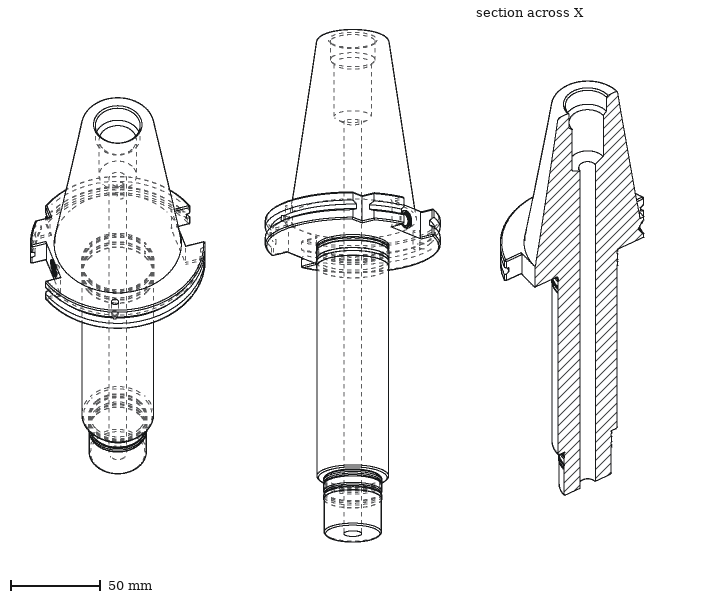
import cadquery as cq
import math


gauge_diameter = 69.85
taper_ratio = 7 / 24
taper_length = 101.75
taper_end_rounding = 2.0
taper_overrun = 0.6
flare_top = -1.5
flare_bottom_diameter = 71.0

flange_diameter = 97.5
flange_top = -3.2
flange_thickness = 15.9
flange_bottom = flange_top - flange_thickness
flange_chamfer = 0.8
v_groove_center = -11.1
v_groove_floor_width = 2.6
v_groove_floor_diameter = 92.2
v_groove_flank_angle = 30

key_slot_width = 25.7
key_slot_front_floor = 37.7
key_slot_back_floor = 35.5
key_slot_edge_chamfer = 1.0
notch_offset = 30.0
chip_hole_diameter = 10.11
chip_hole_depth = 0.5
chip_seat_diameter = 8.5
chip_seat_depth = 1.0
chip_pilot_diameter = 7.0
chip_pilot_depth = 1.5
coolant_hole_diameter = 3.9
coolant_hole_radius = 42.0
coolant_hole_angle = 160
coolant_hole_depth = 10.0
cross_hole_diameter = 3.24
drill_point_half_angle = 59

total_length = 289.6
nose_bottom = taper_length - total_length
collar_diameter = 40.5
collar_length = 12.1
collar_groove_length = 1.7
collar_groove_start = 7.6
undercut_start = 1.2
undercut_length = 2.2
undercut_depth = 0.5
shank_diameter = 40.0
shank_bottom = -155.0
shank_chamfer = 0.9

nut_diameter = 32.5
nut_body_diameter = 32.0
nut_collar_length = 12.4
nut_groove_width = 2.6
nut_groove_depth = 0.45
nut_groove_flank = 0.85
nut_groove_offsets = (1.7, 8.1)
nut_top_chamfer = 0.8
nut_end_chamfer = 0.9

through_diameter = 10.0
thread_diameter = 20.75
pilot_diameter = 25.0
pilot_depth = 11.6
pilot_rim_chamfer = 1.0
thread_depth = 45.0


def ring_groove(outer_radius, depth, top, width, flank):
    """Ring that cuts a flat-floored groove whose flanks each take `flank` along Z."""
    clearance = 1.0
    floor_radius = outer_radius - depth
    bottom = top - width
    return (
        cq.Workplane("XZ")
        .moveTo(outer_radius + clearance, top)
        .lineTo(outer_radius, top)
        .lineTo(floor_radius, top - flank)
        .lineTo(floor_radius, bottom + flank)
        .lineTo(outer_radius, bottom)
        .lineTo(outer_radius + clearance, bottom)
        .close()
        .revolve(360, (0, 0, 0), (0, 1, 0))
    )


def cylinder(diameter, top, bottom):
    return cq.Workplane("XY").workplane(offset=bottom).circle(diameter / 2).extrude(top - bottom)


def make_taper():
    """Cone with a rounded end, its short collar and the flare that meets the flange."""
    small_radius = (gauge_diameter - taper_length * taper_ratio) / 2
    base_radius = (gauge_diameter + taper_overrun * taper_ratio) / 2
    return (
        cq.Workplane("XZ")
        .moveTo(0, flange_top)
        .lineTo(flare_bottom_diameter / 2, flange_top)
        .lineTo(base_radius, flare_top)
        .lineTo(base_radius, -taper_overrun)
        .lineTo(small_radius, taper_length)
        .lineTo(0, taper_length)
        .close()
        .revolve(360, (0, 0, 0), (0, 1, 0))
        .faces(">Z")
        .edges()
        .fillet(taper_end_rounding)
    )


def make_flange():
    """Disc with its cut-outs, chamfered along the outline, with the V groove around it."""
    radius = flange_diameter / 2
    flange = cylinder(flange_diameter, flange_top, flange_bottom)
    for side, floor in ((-1, key_slot_front_floor), (1, key_slot_back_floor)):
        flange = flange.cut(key_slot(side, floor))
    notch = (
        cq.Workplane("XY")
        .workplane(offset=flange_bottom)
        .rect(flange_diameter, flange_diameter)
        .extrude(flange_thickness)
        .translate((-notch_offset - radius, -notch_offset - radius, 0))
    )
    flange = flange.cut(notch)

    outline = flange.faces("<Z or >Z").edges()
    outline = outline.filter(lambda edge: abs(edge.Center().x) > key_slot_width / 4)
    flange = outline.chamfer(flange_chamfer)

    depth = radius - v_groove_floor_diameter / 2
    flank = depth * math.tan(math.radians(v_groove_flank_angle))
    width = v_groove_floor_width + 2 * flank
    return flange.cut(ring_groove(radius, depth, v_groove_center + width / 2, width, flank))


def key_slot(side, floor):
    """Drive slot open to +Y or -Y, with its mouth chamfered at the rim."""
    half_width = key_slot_width / 2
    rim = math.sqrt((flange_diameter / 2) ** 2 - half_width**2)
    chamfer_start = rim - key_slot_edge_chamfer
    outside = flange_diameter / 2
    flare = half_width + outside - chamfer_start
    return (
        cq.Workplane("XY")
        .workplane(offset=flange_bottom)
        .moveTo(-half_width, side * floor)
        .lineTo(half_width, side * floor)
        .lineTo(half_width, side * chamfer_start)
        .lineTo(flare, side * outside)
        .lineTo(-flare, side * outside)
        .lineTo(-half_width, side * chamfer_start)
        .close()
        .extrude(flange_thickness)
    )


def make_shank():
    collar_bottom = flange_bottom - collar_length
    collar = cylinder(collar_diameter, flange_bottom, collar_bottom)
    radius = collar_diameter / 2
    undercut_top = flange_bottom - undercut_start
    collar = collar.cut(ring_groove(radius, undercut_depth, undercut_top, undercut_length, undercut_depth))
    groove_depth = (collar_diameter - shank_diameter) / 2
    groove_top = flange_bottom - collar_groove_start
    collar = collar.cut(ring_groove(radius, groove_depth, groove_top, collar_groove_length, 0))
    shank = cylinder(shank_diameter, collar_bottom, shank_bottom).faces("<Z").edges().chamfer(shank_chamfer)
    return collar.union(shank)


def make_nut():
    collar_bottom = shank_bottom - nut_collar_length
    radius = nut_diameter / 2
    nut = cylinder(nut_diameter, shank_bottom, collar_bottom).faces(">Z").edges().chamfer(nut_top_chamfer)
    for offset in nut_groove_offsets:
        top = shank_bottom - offset
        nut = nut.cut(ring_groove(radius, nut_groove_depth, top, nut_groove_width, nut_groove_flank))
    body = cylinder(nut_body_diameter, collar_bottom, nose_bottom)
    body = body.faces("<Z").edges().chamfer(nut_end_chamfer)
    return nut.union(body)


def make_bore():
    """Through bore widened at the taper end into a thread bore and a pilot."""
    pilot_radius = pilot_diameter / 2
    thread_radius = thread_diameter / 2
    through_radius = through_diameter / 2
    pilot_bottom = taper_length - pilot_depth
    thread_top = pilot_bottom - (pilot_radius - thread_radius)
    thread_bottom = taper_length - thread_depth
    cone_height = (thread_radius - through_radius) / math.tan(math.radians(drill_point_half_angle))
    return (
        cq.Workplane("XZ")
        .moveTo(0, taper_length)
        .lineTo(pilot_radius + pilot_rim_chamfer, taper_length)
        .lineTo(pilot_radius, taper_length - pilot_rim_chamfer)
        .lineTo(pilot_radius, pilot_bottom)
        .lineTo(thread_radius, thread_top)
        .lineTo(thread_radius, thread_bottom)
        .lineTo(through_radius, thread_bottom - cone_height)
        .lineTo(through_radius, nose_bottom)
        .lineTo(0, nose_bottom)
        .close()
        .revolve(360, (0, 0, 0), (0, 1, 0))
    )


def drilled_hole(diameter, depth):
    """Blind hole down from the origin along -Z, ending in a drill point."""
    radius = diameter / 2
    tip = radius / math.tan(math.radians(drill_point_half_angle))
    return (
        cq.Workplane("XZ")
        .lineTo(radius, 0)
        .lineTo(radius, -depth)
        .lineTo(0, -depth - tip)
        .close()
        .revolve(360, (0, 0, 0), (0, 1, 0))
    )


def make_chip_hole():
    """Stepped hole into the floor of the -Y drive slot, at mid flange."""
    hole = cylinder(chip_hole_diameter, 0, -chip_hole_depth)
    hole = hole.union(cylinder(chip_seat_diameter, 0, -chip_seat_depth))
    hole = hole.union(drilled_hole(chip_pilot_diameter, chip_pilot_depth))
    hole = hole.rotate((0, 0, 0), (1, 0, 0), 90)
    return hole.translate((0, -key_slot_front_floor, v_groove_center))


def make_coolant_holes():
    """Two opposite axial holes, each met by a radial hole from the floor of the V groove."""
    hole = drilled_hole(coolant_hole_diameter, coolant_hole_depth)
    hole = hole.translate((coolant_hole_radius, 0, flange_top))
    cross_hole = (
        cq.Workplane("YZ")
        .workplane(offset=coolant_hole_radius)
        .center(0, v_groove_center)
        .circle(cross_hole_diameter / 2)
        .extrude(flange_diameter / 2 - coolant_hole_radius)
    )
    hole = hole.union(cross_hole)
    first = hole.rotate((0, 0, 0), (0, 0, 1), coolant_hole_angle)
    return first.union(first.rotate((0, 0, 0), (0, 0, 1), 180))


result = make_taper().union(make_flange()).union(make_shank()).union(make_nut())
result = result.cut(make_bore()).cut(make_chip_hole()).cut(make_coolant_holes())